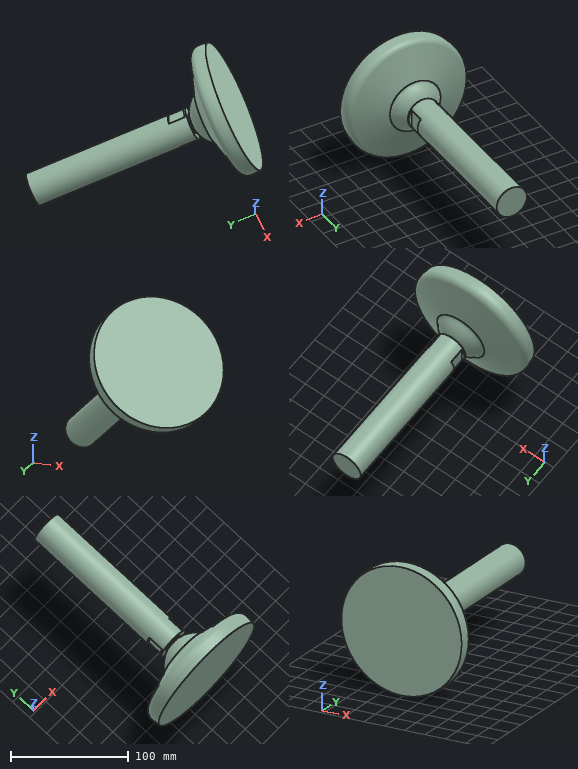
import cadquery as cq
import math

total_length = 189.0

underside_radius = 59.2
rim_diameter = 120.0
rim_radius = rim_diameter / 2
rim_low = 6.2
rim_high = 9.0
shoulder_radius = 54.2
shoulder_height = 16.0
cone_top_radius = 25.1
cone_top_height = 26.3
dome_edge_radius = 23.0
dome_edge_height = 28.0
dome_top_height = 39.9

stem_diameter = 30.0
stem_radius = stem_diameter / 2
stem_start = 39.3
neck_radius = 8.9
flat_half_width = 12.1
flat_start = 41.0
flat_end = 56.0

cap_height = dome_top_height - dome_edge_height
dome_radius = (dome_edge_radius**2 + cap_height**2) / (2 * cap_height)
dome_center = dome_top_height - dome_radius
dome_mid_angle = math.asin(dome_edge_radius / dome_radius) / 2
dome_mid = (
    dome_radius * math.sin(dome_mid_angle),
    dome_center + dome_radius * math.cos(dome_mid_angle),
)


def make_foot():
    """Revolve the foot outline about the Y axis."""
    return (
        cq.Workplane("XY")
        .lineTo(underside_radius, 0)
        .lineTo(rim_radius, rim_low)
        .lineTo(rim_radius, rim_high)
        .tangentArcPoint((shoulder_radius, shoulder_height), relative=False)
        .lineTo(cone_top_radius, cone_top_height)
        .lineTo(dome_edge_radius, dome_edge_height)
        .threePointArc(dome_mid, (0, dome_top_height))
        .close()
        .revolve(360, (0, 0, 0), (0, 1, 0))
    )


def rod(radius, start, end):
    """Round bar along Y between two heights."""
    plane = cq.Plane(origin=(0, start, 0), xDir=(1, 0, 0), normal=(0, 1, 0))
    return cq.Workplane(plane).circle(radius).extrude(end - start)


def flat_cutter(side):
    """Block that removes the stem outside one wrench flat (side is +1 or -1)."""
    depth = stem_radius
    return cq.Workplane("XY").box(depth, flat_end - flat_start, 2 * stem_radius).translate(
        (side * (flat_half_width + depth / 2), (flat_start + flat_end) / 2, 0)
    )


stem = rod(stem_radius, stem_start, total_length)
for side in (-1, 1):
    stem = stem.cut(flat_cutter(side))

neck = rod(neck_radius, dome_edge_height, stem_start)

result = make_foot().union(neck).union(stem)